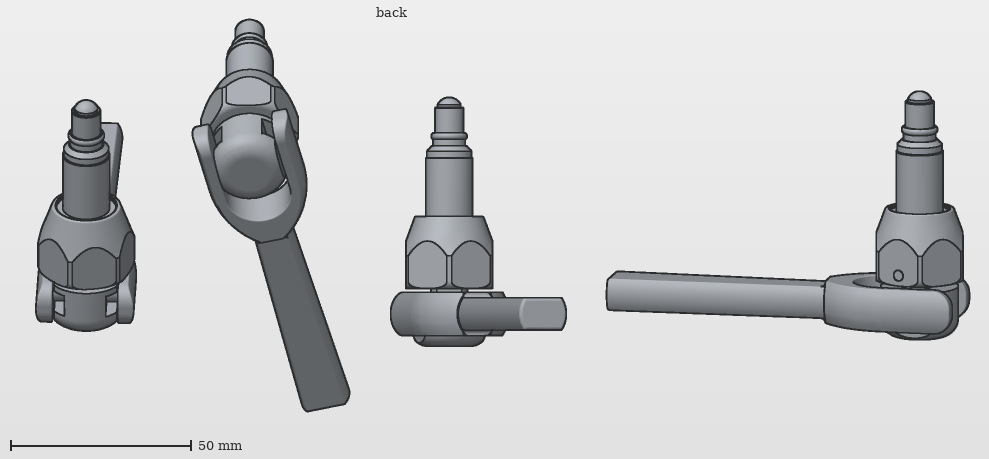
import cadquery as cq
import math

LEVER_ANGLE = 17.4

HUB_RADIUS = 10.77
HUB_HEIGHT = 14.0
HUB_ROUNDING = 5.0
HUB_FLAT_OFFSET = 8.7
SLOT_FLOOR_OFFSET = 5.7
SLOT_HEIGHT = 6.4

NECK_DIAMETER = 10.2
NECK_ACROSS_FLATS = 7.5

NUT_BOTTOM = 16.0
NUT_TOP = 36.1
NUT_ACROSS_FLATS = 24.0
NUT_CORNER_RADIUS = 13.5
NUT_TOP_RADIUS = 9.5
NUT_TOP_ROUNDING = 0.6
NUT_CONE_BOTTOM = 25.2
NUT_BASE_ROUNDING = 2.0
RECESS_DIAMETER = 16.5
RECESS_DEPTH = 0.8
RECESS_CHAMFER = 0.3
DIMPLE_DIAMETER = 3.0
DIMPLE_DEPTH = 0.1
DIMPLE_HEIGHT = 19.0

SHAFT_RADIUS = 6.5
COLLAR_RADIUS = 6.26
THROAT_RADIUS = 4.5
RING_RADIUS = 5.0
RING_HALF_HEIGHT = 0.9
STEM_RADIUS = 4.0
TIP_RADIUS = 3.26
DOME_RADIUS = 3.6
SHAFT_TOP = 52.4
SHAFT_CHAMFER = 0.25
COLLAR_TOP = 54.2
SHOULDER_TOP = 55.6
SHOULDER_RADIUS = 4.86
RING_HEIGHT = 58.3
STEM_TOP = 66.3
STEM_CHAMFER = 0.2
SPINDLE_TOP = 69.1

LEVER_MID_HEIGHT = 9.0
FORK_THICKNESS = 12.0
FORK_HALF_WIDTH = 13.6
FORK_GAP_RADIUS = 9.1
FORK_GAP_CENTRE = 9.4
FORK_TIP = -11.3
FORK_TIP_ROUNDING = 5.0
FORK_BEND_START = 8.0
FORK_BEND_RADIUS = 24.5
FORK_CROWN = 1.7
FORK_EDGE_ROUNDING = 0.4
PIN_DIAMETER = 6.1

HANDLE_ROOT = 26.0
HANDLE_END = 87.6
HANDLE_THICKNESS = 9.0
HANDLE_ROOT_HALF_WIDTH = 5.5
HANDLE_END_HALF_WIDTH = 6.9
HANDLE_CROWN = 1.4
HANDLE_EDGE_ROUNDING = 0.5
HANDLE_END_ROUNDING = 0.9


def make_spindle():
    """Stepped shaft with a bead ring and a domed tip, turned about Z."""
    dome_drop = DOME_RADIUS - math.sqrt(DOME_RADIUS**2 - TIP_RADIUS**2)
    half_angle = math.asin(TIP_RADIUS / DOME_RADIUS) / 2
    dome_mid = (
        DOME_RADIUS * math.sin(half_angle),
        SPINDLE_TOP - DOME_RADIUS * (1 - math.cos(half_angle)),
    )
    return (
        cq.Workplane("XZ")
        .moveTo(0, NUT_BOTTOM)
        .lineTo(SHAFT_RADIUS, NUT_BOTTOM)
        .lineTo(SHAFT_RADIUS, SHAFT_TOP - SHAFT_CHAMFER)
        .lineTo(COLLAR_RADIUS, SHAFT_TOP)
        .lineTo(COLLAR_RADIUS, COLLAR_TOP)
        .lineTo(SHOULDER_RADIUS, SHOULDER_TOP)
        .lineTo(THROAT_RADIUS, SHOULDER_TOP)
        .lineTo(THROAT_RADIUS, RING_HEIGHT - RING_HALF_HEIGHT)
        .threePointArc((RING_RADIUS, RING_HEIGHT), (THROAT_RADIUS, RING_HEIGHT + RING_HALF_HEIGHT))
        .lineTo(STEM_RADIUS, RING_HEIGHT + RING_HALF_HEIGHT)
        .lineTo(STEM_RADIUS, STEM_TOP - STEM_CHAMFER)
        .lineTo(STEM_RADIUS - STEM_CHAMFER, STEM_TOP)
        .lineTo(TIP_RADIUS, STEM_TOP)
        .lineTo(TIP_RADIUS, SPINDLE_TOP - dome_drop)
        .threePointArc(dome_mid, (0, SPINDLE_TOP))
        .close()
        .revolve(360, (0, 0, 0), (0, 1, 0))
    )


def make_nut():
    """Hexagon with corners toward -Y and +Y, trimmed by a turned cone."""
    height = NUT_TOP - NUT_BOTTOM
    hexagon = (
        cq.Workplane("XY", origin=(0, 0, NUT_BOTTOM))
        .polygon(6, NUT_ACROSS_FLATS, circumscribed=True)
        .extrude(height)
    )
    envelope = (
        cq.Workplane("XZ")
        .moveTo(0, NUT_BOTTOM)
        .lineTo(NUT_CORNER_RADIUS, NUT_BOTTOM)
        .lineTo(NUT_CORNER_RADIUS, NUT_CONE_BOTTOM)
        .lineTo(NUT_TOP_RADIUS, NUT_TOP)
        .lineTo(0, NUT_TOP)
        .close()
        .revolve(360, (0, 0, 0), (0, 1, 0))
        .faces("<Z").edges().fillet(NUT_BASE_ROUNDING)
        .faces(">Z").edges().fillet(NUT_TOP_ROUNDING)
    )
    recess = (
        cq.Workplane("XY", origin=(0, 0, NUT_TOP - RECESS_DEPTH))
        .circle(RECESS_DIAMETER / 2)
        .extrude(RECESS_DEPTH)
    )
    recess_chamfer = (
        cq.Workplane("XY", origin=(0, 0, NUT_TOP))
        .circle(RECESS_DIAMETER / 2 + RECESS_CHAMFER)
        .extrude(-RECESS_CHAMFER, taper=45)
    )
    dimple = (
        cq.Workplane("YZ", origin=(-NUT_ACROSS_FLATS / 2, 0, DIMPLE_HEIGHT))
        .circle(DIMPLE_DIAMETER / 2)
        .extrude(DIMPLE_DEPTH)
    )
    return hexagon.intersect(envelope).cut(recess).cut(recess_chamfer).cut(dimple)


def make_neck():
    """Short round neck with two flats."""
    overlap = 1.0
    height = NUT_BOTTOM - HUB_HEIGHT + 2 * overlap
    base = cq.Workplane("XY", origin=(0, 0, HUB_HEIGHT - overlap))
    flats = base.rect(NECK_DIAMETER, NECK_ACROSS_FLATS).extrude(height)
    return base.circle(NECK_DIAMETER / 2).extrude(height).intersect(flats)


def make_hub():
    """Round-bottomed hub with two side flats and a pin slot in each flat."""
    hub = cq.Workplane("XY").circle(HUB_RADIUS).extrude(HUB_HEIGHT)
    hub = hub.faces("<Z").edges().fillet(HUB_ROUNDING)
    hub = hub.intersect(
        cq.Workplane("XY").rect(2 * HUB_FLAT_OFFSET, 2 * HUB_RADIUS).extrude(HUB_HEIGHT)
    )
    slot_depth = HUB_RADIUS - SLOT_FLOOR_OFFSET
    for side in (-1, 1):
        slot_base = cq.Workplane("YZ", origin=(side * SLOT_FLOOR_OFFSET, 0, LEVER_MID_HEIGHT))
        run = slot_base.center(-HUB_RADIUS / 2, 0).rect(HUB_RADIUS, SLOT_HEIGHT).extrude(side * slot_depth)
        round_end = slot_base.circle(SLOT_HEIGHT / 2).extrude(side * slot_depth)
        hub = hub.cut(run).cut(round_end)
    return hub


def crowned_section(plane, half_width, thickness, crown):
    """Bar section whose two sides bulge outward by `crown` at mid height."""
    edge = half_width - crown
    half = thickness / 2
    return (
        plane.moveTo(-edge, -half)
        .lineTo(edge, -half)
        .threePointArc((half_width, 0), (edge, half))
        .lineTo(-edge, half)
        .threePointArc((-half_width, 0), (-edge, -half))
        .close()
    )


def crowned_disc(centre_x):
    """Disc with a bulging rim; its rim forms one curved shoulder of the fork."""
    edge = FORK_BEND_RADIUS - FORK_CROWN
    half = FORK_THICKNESS / 2
    return (
        cq.Workplane("XZ", origin=(centre_x, FORK_BEND_START, LEVER_MID_HEIGHT))
        .moveTo(0, -half)
        .lineTo(edge, -half)
        .threePointArc((FORK_BEND_RADIUS, 0), (edge, half))
        .lineTo(0, half)
        .close()
        .revolve(360, (0, 0, 0), (0, 1, 0))
    )


def make_fork():
    """Fork with straight arms, curved shoulders and rounded tips."""
    bend_offset = FORK_BEND_RADIUS - FORK_HALF_WIDTH
    bottom = LEVER_MID_HEIGHT - FORK_THICKNESS / 2
    shoulder_length = HANDLE_ROOT - FORK_BEND_START
    shoulder_block = (
        cq.Workplane("XY", origin=(0, FORK_BEND_START + shoulder_length / 2, bottom))
        .rect(2 * FORK_HALF_WIDTH, shoulder_length)
        .extrude(FORK_THICKNESS)
    )
    shoulders = crowned_disc(-bend_offset).intersect(crowned_disc(bend_offset)).intersect(shoulder_block)

    arm_plane = cq.Workplane("XZ", origin=(0, FORK_BEND_START, LEVER_MID_HEIGHT))
    arms = crowned_section(arm_plane, FORK_HALF_WIDTH, FORK_THICKNESS, FORK_CROWN).extrude(
        FORK_BEND_START - FORK_TIP
    )
    arms = arms.intersect(
        cq.Workplane("XY", origin=(0, (FORK_BEND_START + FORK_TIP) / 2, bottom))
        .rect(2 * FORK_HALF_WIDTH, FORK_BEND_START - FORK_TIP)
        .extrude(FORK_THICKNESS)
        .faces("<Y").edges("|X").fillet(FORK_TIP_ROUNDING)
    )

    gap_round = (
        cq.Workplane("XY", origin=(0, FORK_GAP_CENTRE, bottom))
        .circle(FORK_GAP_RADIUS)
        .extrude(FORK_THICKNESS)
    )
    gap_length = FORK_GAP_CENTRE - FORK_TIP
    gap_run = (
        cq.Workplane("XY", origin=(0, FORK_GAP_CENTRE - gap_length / 2, bottom))
        .rect(2 * FORK_GAP_RADIUS, gap_length)
        .extrude(FORK_THICKNESS)
    )
    fork = shoulders.union(arms).cut(gap_round).cut(gap_run)
    tip_zone = cq.selectors.BoxSelector(
        (-2 * FORK_HALF_WIDTH, 2 * FORK_TIP, 0),
        (2 * FORK_HALF_WIDTH, FORK_TIP + FORK_TIP_ROUNDING, HUB_HEIGHT + FORK_THICKNESS),
    )
    level_edges = cq.StringSyntaxSelector("#Z")
    cross_edges = cq.StringSyntaxSelector("|X")
    return fork.edges((tip_zone + level_edges) - cross_edges).fillet(FORK_EDGE_ROUNDING)


def make_handle():
    """Tapered handle with bulging sides, widest at its free end."""
    length = HANDLE_END - HANDLE_ROOT
    root_plane = cq.Workplane("XZ", origin=(0, HANDLE_ROOT, LEVER_MID_HEIGHT))
    root = crowned_section(root_plane, HANDLE_ROOT_HALF_WIDTH, HANDLE_THICKNESS, HANDLE_CROWN)
    end_plane = root.workplane(offset=-length)
    end = crowned_section(end_plane, HANDLE_END_HALF_WIDTH, HANDLE_THICKNESS, HANDLE_CROWN)
    handle = end.loft(ruled=True)
    handle = handle.faces("<Z or >Z").edges("not |X").fillet(HANDLE_EDGE_ROUNDING)
    return handle.faces(">Y").edges().fillet(HANDLE_END_ROUNDING)


def make_flare():
    """Concave step that blends the thinner handle into the fork, above and below."""
    half = HANDLE_THICKNESS / 2
    size = FORK_THICKNESS / 2 - FORK_EDGE_ROUNDING - half
    bow = size * (1 - math.sqrt(0.5))
    return (
        cq.Workplane("YZ", origin=(0, HANDLE_ROOT, LEVER_MID_HEIGHT))
        .moveTo(0, -half - size)
        .threePointArc((bow, -half - bow), (size, -half))
        .lineTo(size, half)
        .threePointArc((bow, half + bow), (0, half + size))
        .close()
        .extrude(HANDLE_ROOT_HALF_WIDTH - HANDLE_CROWN, both=True)
    )


def make_pins():
    """Pins that join each fork arm to the floor of its hub slot."""
    arm_overlap = 1.0
    pins = cq.Workplane("XY")
    for side in (-1, 1):
        pins = pins.union(
            cq.Workplane("YZ", origin=(side * SLOT_FLOOR_OFFSET, 0, LEVER_MID_HEIGHT))
            .circle(PIN_DIAMETER / 2)
            .extrude(side * (FORK_GAP_RADIUS + arm_overlap - SLOT_FLOOR_OFFSET))
        )
    return pins


lever = make_hub().union(make_fork()).union(make_handle()).union(make_flare()).union(make_pins())
lever = lever.rotate((0, 0, 0), (0, 0, 1), LEVER_ANGLE)
result = lever.union(make_neck()).union(make_nut()).union(make_spindle())